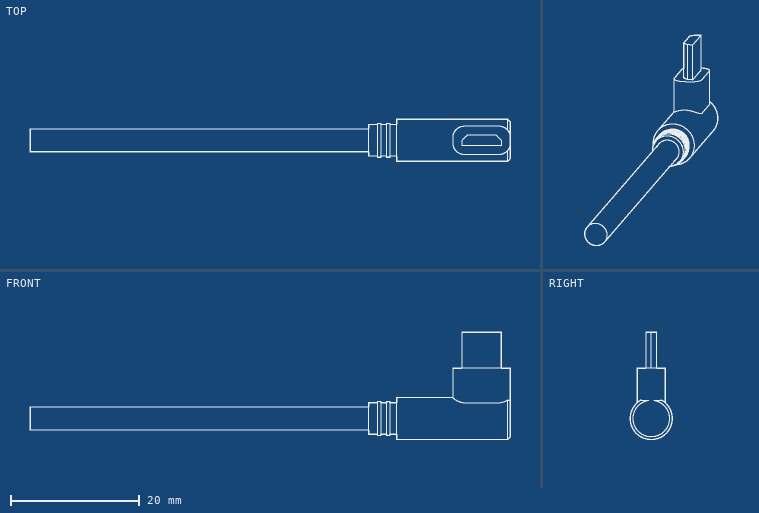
import cadquery as cq

total_length = 74.5
tab_top = 13.4

cable_diameter = 3.6
sleeve_start = 52.5
sleeve_diameter = 4.9
ring_diameter = 5.3
ring_width = 0.5
ring_starts = (53.9, 55.3)

housing_start = 56.85
housing_diameter = 6.55
end_chamfer = 0.45

boss_length = 8.95
boss_width = 4.4
boss_corner_radius = 1.8
boss_top = 7.8
boss_center_x = total_length - boss_length / 2

tab_length = 6.1
tab_thickness = 1.65
tab_bevel = tab_thickness / 2


def cylinder_along_x(start, end, diameter):
    return cq.Workplane("YZ", origin=(start, 0, 0)).circle(diameter / 2).extrude(end - start)


def make_strain_relief():
    relief = cylinder_along_x(sleeve_start, housing_start, sleeve_diameter)
    for start in ring_starts:
        relief = relief.union(cylinder_along_x(start, start + ring_width, ring_diameter))
    return relief


def make_housing():
    housing = cylinder_along_x(housing_start, total_length, housing_diameter)
    return housing.faces(">X").chamfer(end_chamfer)


def make_boss():
    boss = cq.Workplane("XY").center(boss_center_x, 0).rect(boss_length, boss_width).extrude(boss_top)
    boss = boss.edges("|Z").fillet(boss_corner_radius)
    return boss


def make_tab():
    tab = (
        cq.Workplane("XY", origin=(boss_center_x, 0, boss_top))
        .rect(tab_length, tab_thickness)
        .extrude(tab_top - boss_top)
    )
    return tab.edges("|Z and >Y").chamfer(tab_bevel)


cable = cylinder_along_x(0, housing_start, cable_diameter)
result = cable.union(make_strain_relief()).union(make_housing()).union(make_boss()).union(make_tab())